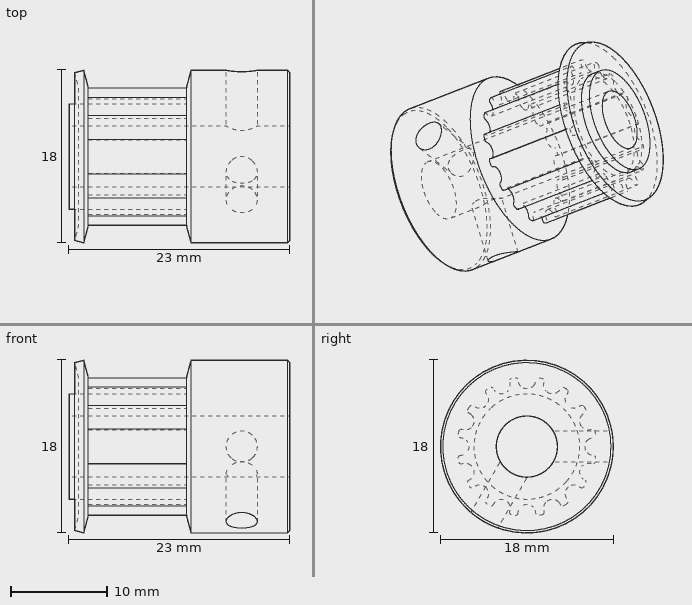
import cadquery as cq
import math


TOTAL_LENGTH = 23.0
RIM_RADIUS = 18.0 / 2
BORE_RADIUS = 6.35 / 2

BARREL_START = 2.0
HUB_START = 12.24

TOOTH_COUNT = 16
TIP_RADIUS = 7.27
GROOVE_DEPTH = 1.25
GROOVE_ARC_RADIUS = 0.92
TOOTH_ROUND = 0.28

BOSS_RADIUS = 11.0 / 2
SHEET_THICKNESS = 1.0
CONE_ANGLE = math.radians(15)

HUB_CHAMFER = 0.25
SCREW_HOLE_RADIUS = 3.25 / 2
SCREW_HOLE_X = 17.99
SCREW_HOLE_ANGLES = (0, 240)

CONE_LENGTH = (RIM_RADIUS - TIP_RADIUS) * math.tan(CONE_ANGLE)


def revolve_about_x(points):
    """Revolve a closed outline of (x, radius) points about the X axis."""
    return cq.Workplane("XY").polyline(points).close().revolve(360, (0, 0, 0), (1, 0, 0))


def polar(radius, angle):
    """Coordinates of a point given by its radius and its angle in radians."""
    return (radius * math.cos(angle), radius * math.sin(angle))


def make_barrel():
    """Extrude the toothed section between the flange and the hub."""
    pitch_angle = 2 * math.pi / TOOTH_COUNT
    root_radius = TIP_RADIUS - GROOVE_DEPTH
    groove_centre = root_radius + GROOVE_ARC_RADIUS
    round_centre = TIP_RADIUS - TOOTH_ROUND
    centre_distance = GROOVE_ARC_RADIUS + TOOTH_ROUND

    round_angle = math.acos(
        (groove_centre**2 + round_centre**2 - centre_distance**2) / (2 * groove_centre * round_centre)
    )
    round_x, round_y = polar(round_centre, round_angle)

    share = GROOVE_ARC_RADIUS / centre_distance
    touch_x = groove_centre + share * (round_x - groove_centre)
    touch_y = share * round_y
    touch_radius = math.hypot(touch_x, touch_y)
    touch_angle = math.atan2(touch_y, touch_x)

    towards_groove = math.atan2(touch_y - round_y, touch_x - round_x)
    middle_direction = (towards_groove + round_angle) / 2
    middle_x = round_x + TOOTH_ROUND * math.cos(middle_direction)
    middle_y = round_y + TOOTH_ROUND * math.sin(middle_direction)
    middle_radius = math.hypot(middle_x, middle_y)
    middle_angle = math.atan2(middle_y, middle_x)

    outline = cq.Workplane("YZ", origin=(BARREL_START, 0, 0)).moveTo(*polar(TIP_RADIUS, -round_angle))
    for tooth in range(TOOTH_COUNT):
        groove = tooth * pitch_angle
        next_groove = groove + pitch_angle
        outline = (
            outline
            .threePointArc(
                polar(middle_radius, groove - middle_angle),
                polar(touch_radius, groove - touch_angle),
            )
            .threePointArc(polar(root_radius, groove), polar(touch_radius, groove + touch_angle))
            .threePointArc(
                polar(middle_radius, groove + middle_angle),
                polar(TIP_RADIUS, groove + round_angle),
            )
            .threePointArc(
                polar(TIP_RADIUS, groove + pitch_angle / 2),
                polar(TIP_RADIUS, next_groove - round_angle),
            )
        )
    return outline.close().extrude(HUB_START - BARREL_START)


def make_hub():
    """Hub with a conical front rim and a chamfered back edge."""
    return revolve_about_x([
        (HUB_START, 0),
        (HUB_START, TIP_RADIUS),
        (HUB_START + CONE_LENGTH, RIM_RADIUS),
        (TOTAL_LENGTH - HUB_CHAMFER, RIM_RADIUS),
        (TOTAL_LENGTH, RIM_RADIUS - HUB_CHAMFER),
        (TOTAL_LENGTH, 0),
    ])


def make_screw_hole(angle):
    """Radial cutter from the axis out past the hub wall."""
    direction = cq.Vector(0, *polar(1, math.radians(angle)))
    start = cq.Vector(SCREW_HOLE_X, 0, 0)
    return cq.Workplane(cq.Solid.makeCylinder(SCREW_HOLE_RADIUS, 2 * RIM_RADIUS, start, direction))


def make_pulley():
    """Boss, toothed barrel and hub in one piece, bored through."""
    boss = cq.Workplane("YZ").circle(BOSS_RADIUS).extrude(BARREL_START)
    bore = cq.Workplane("YZ").circle(BORE_RADIUS).extrude(TOTAL_LENGTH)
    body = make_barrel().union(boss).union(make_hub()).cut(bore)
    for angle in SCREW_HOLE_ANGLES:
        body = body.cut(make_screw_hole(angle))
    return body


def make_flange():
    """Washer of even thickness whose rim is bent away from the teeth."""
    rim_x = BARREL_START - CONE_LENGTH
    rim_outer_x = rim_x - SHEET_THICKNESS * math.cos(CONE_ANGLE)
    rim_outer_radius = RIM_RADIUS - SHEET_THICKNESS * math.sin(CONE_ANGLE)
    bend_shift = SHEET_THICKNESS * math.tan(CONE_ANGLE / 2)
    return revolve_about_x([
        (BARREL_START, BOSS_RADIUS),
        (BARREL_START, TIP_RADIUS),
        (rim_x, RIM_RADIUS),
        (rim_outer_x, rim_outer_radius),
        (BARREL_START - SHEET_THICKNESS, TIP_RADIUS - bend_shift),
        (BARREL_START - SHEET_THICKNESS, BOSS_RADIUS),
    ])


pulley = make_pulley()
flange = make_flange()

result = cq.Compound.makeCompound([pulley.val(), flange.val()])